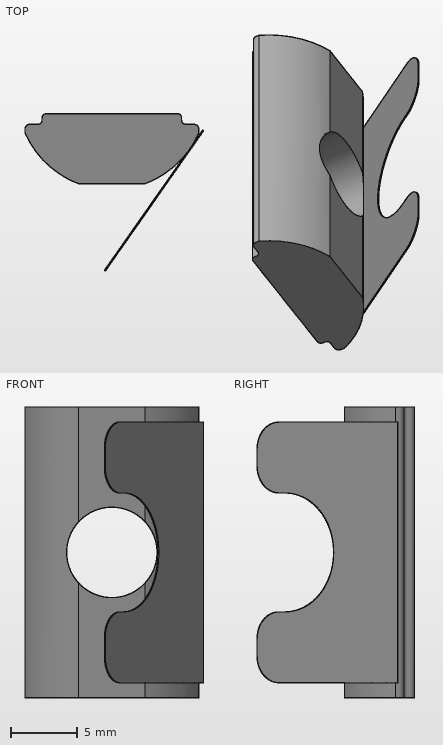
import cadquery as cq
import math

body_length = 22.0
body_half_width = 6.58
body_depth = 5.3
front_flat_half_width = 2.5
flank_radius = 7.17
rail_half_width = 5.28
rail_height = 0.8
rail_corner_radius = 0.3
rail_root_radius = 0.29
shoulder_radius = 0.4
hole_diameter = 6.82

spring_angle = 55.0
spring_thickness = 0.1
spring_sink = 0.033
spring_height = 19.71
spring_length = 12.95
spring_above_contact = 1.75
notch_radius = 4.49
notch_depth = 7.06
leg_corner_radius = 2.0

flank_center_y = -body_depth + math.sqrt(flank_radius**2 - front_flat_half_width**2)


def flank_point(x):
    """Point of the flank arc at the given X."""
    return x, flank_center_y - math.sqrt(flank_radius**2 - x**2)


def round_edges(body, x, y, radius):
    """Round the mirrored pair of lengthwise edges at +/-X and Y."""
    reach = 0.02
    for edge_x in (-x, x):
        low = (edge_x - reach, y - reach, -body_length)
        high = (edge_x + reach, y + reach, body_length)
        body = body.edges(cq.selectors.BoxSelector(low, high)).fillet(radius)
    return body


def make_body():
    flank_top = flank_point(body_half_width)
    flank_bottom = flank_point(front_flat_half_width)
    flank_middle = flank_point((body_half_width + front_flat_half_width) / 2)
    body = (
        cq.Workplane("XY")
        .workplane(offset=-body_length / 2)
        .moveTo(-rail_half_width, 0)
        .lineTo(rail_half_width, 0)
        .lineTo(rail_half_width, -rail_height)
        .lineTo(body_half_width, -rail_height)
        .lineTo(*flank_top)
        .threePointArc(flank_middle, flank_bottom)
        .lineTo(-flank_bottom[0], flank_bottom[1])
        .threePointArc((-flank_middle[0], flank_middle[1]), (-flank_top[0], flank_top[1]))
        .lineTo(-body_half_width, -rail_height)
        .lineTo(-rail_half_width, -rail_height)
        .close()
        .extrude(body_length)
    )
    body = round_edges(body, rail_half_width, 0, rail_corner_radius)
    body = round_edges(body, rail_half_width, -rail_height, rail_root_radius)
    body = round_edges(body, body_half_width, -rail_height, shoulder_radius)
    hole = cq.Workplane("XZ").circle(hole_diameter / 2).extrude(body_depth)
    return body.cut(hole)


def make_spring():
    """Sheet in the flank's tangent plane, with a round-ended notch in its free edge."""
    angle = math.radians(spring_angle)
    along = (math.cos(angle), math.sin(angle), 0)
    outward = (math.sin(angle), -math.cos(angle), 0)
    offset = flank_radius - spring_sink
    contact = (offset * outward[0], flank_center_y + offset * outward[1], 0)
    plane = cq.Plane(origin=contact, xDir=along, normal=outward)

    free_edge = spring_above_contact - spring_length
    half_height = spring_height / 2
    notch_bottom = free_edge + notch_depth
    notch_center = notch_bottom - notch_radius
    sheet = (
        cq.Workplane(plane)
        .moveTo(spring_above_contact, half_height)
        .lineTo(free_edge, half_height)
        .lineTo(free_edge, notch_radius)
        .lineTo(notch_center, notch_radius)
        .threePointArc((notch_bottom, 0), (notch_center, -notch_radius))
        .lineTo(free_edge, -notch_radius)
        .lineTo(free_edge, -half_height)
        .lineTo(spring_above_contact, -half_height)
        .close()
        .extrude(spring_thickness)
    )
    leg_ends = sheet.faces(cq.selectors.DirectionMinMaxSelector(cq.Vector(*along), False))
    return leg_ends.edges("not |Z").fillet(leg_corner_radius)


result = make_body().union(make_spring())